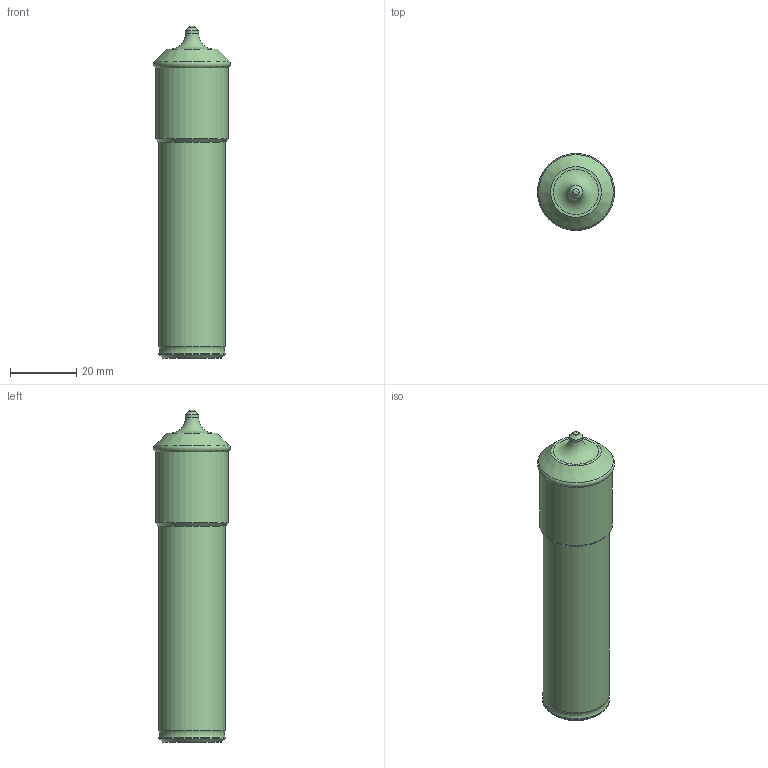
import cadquery as cq
import math

total_height = 100.0
flare_top_z = 97.8
cap_top_z = 93.0
bead_center_z = 88.51
collar_bottom_z = 66.0
groove_top_z = 3.5
groove_bottom_z = 1.4

tip_round = 1.3
pin_radius = 2.0
bead_max_radius = 11.62
bead_round = 1.2
collar_radius = 11.0
body_radius = 10.0
groove_depth = 0.23
foot_chamfer = 1.0

cos_45 = math.cos(math.radians(45))

flare_radius = flare_top_z - cap_top_z
flare_outer_radius = pin_radius + flare_radius

tip_edge_radius = tip_round * cos_45
tip_edge_z = total_height - tip_round + tip_round * cos_45
pin_top_z = tip_edge_z - (pin_radius - tip_edge_radius)

bead_edge_offset = bead_round * cos_45
bead_edge_radius = bead_max_radius - bead_round + bead_edge_offset
bead_top_z = bead_center_z + bead_edge_offset
bead_bottom_z = bead_center_z - bead_edge_offset
collar_top_z = bead_bottom_z - (bead_edge_radius - collar_radius)
cap_top_radius = bead_edge_radius - (cap_top_z - bead_top_z)

step_bottom_z = collar_bottom_z - (collar_radius - body_radius)

groove_mid = (body_radius - groove_depth, (groove_top_z + groove_bottom_z) / 2)

profile = (
    cq.Workplane("XZ")
    .lineTo(body_radius - foot_chamfer, 0)
    .lineTo(body_radius, foot_chamfer)
    .lineTo(body_radius, groove_bottom_z)
    .threePointArc(groove_mid, (body_radius, groove_top_z))
    .lineTo(body_radius, step_bottom_z)
    .lineTo(collar_radius, collar_bottom_z)
    .lineTo(collar_radius, collar_top_z)
    .lineTo(bead_edge_radius, bead_bottom_z)
    .threePointArc((bead_max_radius, bead_center_z), (bead_edge_radius, bead_top_z))
    .lineTo(cap_top_radius, cap_top_z)
    .lineTo(flare_outer_radius, cap_top_z)
    .radiusArc((pin_radius, flare_top_z), flare_radius)
    .lineTo(pin_radius, pin_top_z)
    .lineTo(tip_edge_radius, tip_edge_z)
    .radiusArc((0, total_height), -tip_round)
    .close()
)

result = profile.revolve(360, (0, 0), (0, 1))